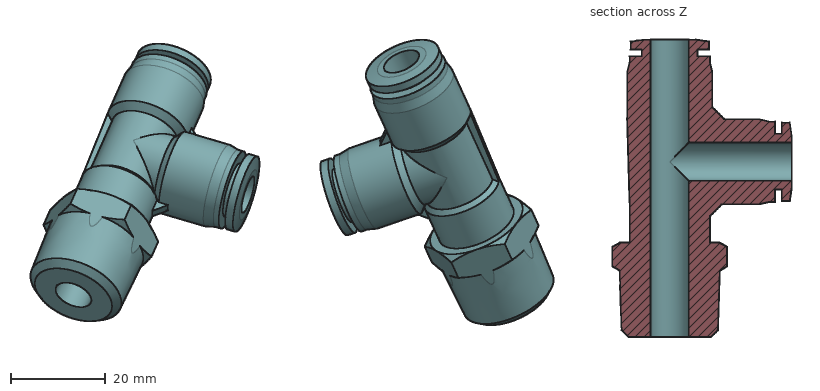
import cadquery as cq
import math


socket_end = 25.75
collar_radius = 8.3
collar_face_radius = 5.5
collar_bevel = 0.4
collar_inner = 23.6
neck_radius = 5.9
cap_end = 22.25
cap_radius = 8.5
cap_taper_end = 21.0
cap_taper_start = 18.9
socket_radius = 9.0
socket_start = 9.0
core_radius = 7.5
core_end = socket_start - (socket_radius - core_radius)

stem_radius = 8.5
stem_start = 8.5
stem_bevel = stem_radius - core_radius

hex_flats = 21.0
hex_corners = hex_flats / math.cos(math.pi / 6)
hex_top = -17.0
hex_bottom = -23.0
hex_face_radius = hex_flats / 2
hex_bevel_angle = 30
hex_bevel = (hex_corners / 2 - hex_face_radius) * math.tan(math.radians(hex_bevel_angle))

thread_end = -37.0
thread_taper = 1 / 32
flats_reach = -26.0
thread_bevel = 1.5

bore_radius = 4.0

web_thickness = 2.0
socket_side_leg = 20.5
stem_side_leg = 20.0


def thread_radius(y):
    """Radius of the tapered thread at position y."""
    return hex_flats / 2 + thread_taper * (y - flats_reach)


def revolve_about_y(points):
    """Turn an outline of (radius, y) points about the Y axis."""
    return cq.Workplane("XY").polyline(points).close().revolve(360, (0, 0), (0, 1))


def socket_arm():
    """Core and push-in socket, pointing along +Y from the origin."""
    return revolve_about_y([
        (0, 0),
        (core_radius, 0),
        (core_radius, core_end),
        (socket_radius, socket_start),
        (socket_radius, cap_taper_start),
        (cap_radius, cap_taper_end),
        (cap_radius, cap_end),
        (neck_radius, cap_end),
        (neck_radius, collar_inner),
        (collar_radius, collar_inner),
        (collar_radius, socket_end - collar_bevel),
        (collar_face_radius, socket_end),
        (0, socket_end),
    ])


def stem():
    """Core and stem from the origin down to the hexagon."""
    return revolve_about_y([
        (0, 0),
        (core_radius, 0),
        (core_radius, -stem_start + stem_bevel),
        (stem_radius, -stem_start),
        (stem_radius, hex_top),
        (0, hex_top),
    ])


def threaded_end():
    """Bevelled hexagon and tapered thread, both trimmed by one hexagonal prism."""
    end_radius = thread_radius(thread_end)
    blank = revolve_about_y([
        (0, hex_top),
        (hex_face_radius, hex_top),
        (hex_corners / 2, hex_top - hex_bevel),
        (hex_corners / 2, hex_bottom + hex_bevel),
        (thread_radius(hex_bottom), hex_bottom),
        (thread_radius(thread_end + thread_bevel), thread_end + thread_bevel),
        (end_radius - thread_bevel, thread_end),
        (0, thread_end),
    ])
    prism = (
        cq.Workplane("XZ", origin=(0, hex_top, 0))
        .polygon(6, hex_corners)
        .extrude(hex_top - thread_end)
    )
    return blank.intersect(prism)


def web(points):
    """Flat web of the given XY outline, centred on the mid-plane."""
    half = web_thickness / 2
    return cq.Workplane("XY", origin=(0, 0, -half)).polyline(points).close().extrude(web_thickness)


def back_web():
    """Web opposite the branch, sloping from the socket's radius to the stem's."""
    return web([
        (0, socket_start),
        (-socket_radius, socket_start),
        (-stem_radius, -stem_start),
        (0, -stem_start),
    ])


def gusset(leg, side):
    """Triangular web between the run and the branch, on the +Y (side 1) or -Y (side -1) flank."""
    return web([(0, 0), (leg, 0), (0, side * leg)])


def bore():
    """Passage through the whole run, joined by the one along the branch."""
    run_length = socket_end - thread_end
    run = cq.Workplane("XZ", origin=(0, socket_end, 0)).circle(bore_radius).extrude(run_length)
    branch = cq.Workplane("YZ").circle(bore_radius).extrude(socket_end)
    return run.union(branch)


result = (
    socket_arm()
    .union(socket_arm().rotate((0, 0, 0), (0, 0, 1), -90))
    .union(stem())
    .union(threaded_end())
    .union(back_web())
    .union(gusset(socket_side_leg, 1))
    .union(gusset(stem_side_leg, -1))
    .cut(bore())
)